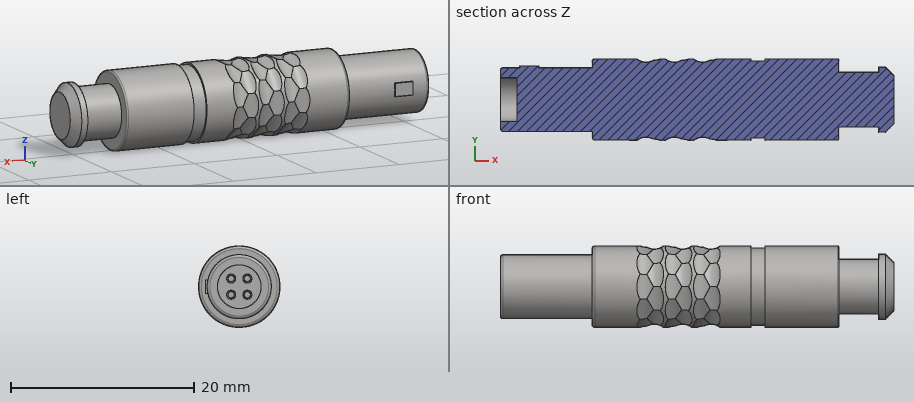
import cadquery as cq

TOTAL_LENGTH = 43.0
SLEEVE_START = 10.0
GROOVE_START = 27.35
GROOVE_END = 28.9
SLEEVE_END = 37.0
FLANGE_START = 41.32

NOSE_DIAMETER = 7.0
SLEEVE_DIAMETER = 8.9
GROOVE_DIAMETER = 8.45
NECK_DIAMETER = 6.0
FLANGE_DIAMETER = 7.15

NOSE_FILLET = 0.3
SLEEVE_FRONT_FILLET = 0.3
SLEEVE_BACK_FILLET = 0.17
FLANGE_CHAMFER = 0.95

SOCKET_DIAMETER = 4.77
SOCKET_DEPTH = 1.8
CONTACT_SPACING = 1.75
CONTACT_MOUTH_DIAMETER = 1.0
CONTACT_BORE_DIAMETER = 0.7
CONTACT_DEPTH = 0.85
COUNTERSINK_ANGLE = 90

KEY_START = 2.1
KEY_LENGTH = 2.1
KEY_WIDTH = 1.5
KEY_TOP = 3.7
KEY_BASE = SOCKET_DIAMETER / 2 + 0.45

DIMPLES_PER_RING = 10
RING_PAIRS = 3
PAIR_PITCH = 3.1
FIRST_RING_X = 15.9
RING_SPACING = 0.9
DIMPLE_RADIUS = 1.65
DIMPLE_DEPTH = 0.35
CUTTER_LENGTH = 5.15


def cylinder(start, end, diameter):
    """Round bar on the connector axis between two stations."""
    return cq.Workplane("YZ", origin=(start, 0, 0)).circle(diameter / 2).extrude(end - start)


def make_body():
    """Nose, two sleeve lengths either side of a groove, neck and end flange."""
    nose = cylinder(0, SLEEVE_START, NOSE_DIAMETER).faces("<X").edges().fillet(NOSE_FILLET)
    front_sleeve = (
        cylinder(SLEEVE_START, GROOVE_START, SLEEVE_DIAMETER)
        .faces("<X").edges().fillet(SLEEVE_FRONT_FILLET)
    )
    groove_floor = cylinder(GROOVE_START, GROOVE_END, GROOVE_DIAMETER)
    back_sleeve = (
        cylinder(GROOVE_END, SLEEVE_END, SLEEVE_DIAMETER)
        .faces(">X").edges().fillet(SLEEVE_BACK_FILLET)
    )
    neck = cylinder(SLEEVE_END, FLANGE_START, NECK_DIAMETER)
    flange = (
        cylinder(FLANGE_START, TOTAL_LENGTH, FLANGE_DIAMETER)
        .faces(">X").edges().chamfer(FLANGE_CHAMFER)
    )
    body = nose
    for section in (front_sleeve, groove_floor, back_sleeve, neck, flange):
        body = body.union(section)
    return body


def make_key():
    """Bar reaching from inside the nose wall out to the key top."""
    return (
        cq.Workplane("XY", origin=(KEY_START, KEY_BASE, 0))
        .box(KEY_LENGTH, KEY_TOP - KEY_BASE, KEY_WIDTH, centered=(False, False, True))
    )


def cut_socket(part):
    """Round socket with a square of countersunk contact holes in its floor."""
    floor = cq.Plane(origin=(SOCKET_DEPTH, 0, 0), xDir=(0, 1, 0), normal=(-1, 0, 0))
    return (
        part.cut(cylinder(0, SOCKET_DEPTH, SOCKET_DIAMETER))
        .copyWorkplane(cq.Workplane(floor))
        .rarray(CONTACT_SPACING, CONTACT_SPACING, 2, 2)
        .cskHole(CONTACT_BORE_DIAMETER, CONTACT_MOUTH_DIAMETER, COUNTERSINK_ANGLE, CONTACT_DEPTH)
    )


def dimple_ring(x, first_angle):
    """Round cutters lying across the sleeve, each scooping one shallow dimple."""
    axis_height = SLEEVE_DIAMETER / 2 - DIMPLE_DEPTH + DIMPLE_RADIUS
    cutter = (
        cq.Workplane("XZ", origin=(x, CUTTER_LENGTH / 2, axis_height))
        .transformed(rotate=(0, 0, 90))
        .circle(DIMPLE_RADIUS)
        .extrude(CUTTER_LENGTH)
    )
    step = 360 / DIMPLES_PER_RING
    return [
        cutter.rotate((0, 0, 0), (1, 0, 0), first_angle + i * step).val()
        for i in range(DIMPLES_PER_RING)
    ]


def cut_grip(part):
    """Scoop every pair of dimple rings out of the sleeve."""
    half_step = 180 / DIMPLES_PER_RING
    for pair in range(RING_PAIRS):
        x = FIRST_RING_X + pair * PAIR_PITCH
        for cutter in dimple_ring(x, half_step) + dimple_ring(x + RING_SPACING, 0):
            part = part.cut(cq.Workplane(cutter))
    return part


result = cut_grip(cut_socket(make_body().union(make_key())))